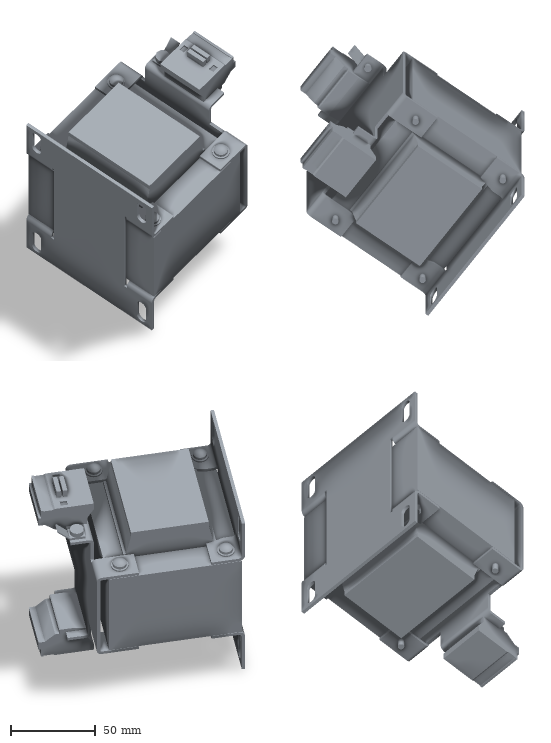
import cadquery as cq
import math


SHEET = 2.0

CORE_WIDTH = 96.0
LEG = CORE_WIDTH / 6
CORE_DEPTH = 5 * LEG
CORE_HALF_HEIGHT = 29.7
FOOT_INNER = 30.0
FOOT_OUTER = FOOT_INNER + SHEET
CORE_FRONT = SHEET
CORE_REAR = CORE_FRONT + CORE_DEPTH
CORE_MIDDLE = (CORE_FRONT + CORE_REAR) / 2
HALF_WIDTH = CORE_WIDTH / 2
WINDOW_EDGE = HALF_WIDTH - LEG

COIL_WIDTH = 62.0
COIL_TOP = 49.2
COIL_BOTTOM = -44.5
COIL_BASE_DEPTH = 52.7
COIL_END_DEPTH = 46.8
FLANGE_DEPTH = 56.0
COIL_RIM = 3.5
FLANGE = 1.9

PLATE_HEIGHT = 122.4
NOTCH_HALF_HEIGHT = 35.1
NOTCH_EDGE = 26.8
RELIEF = 2.2
SLOT_WIDTH = 6.9
SLOT_LENGTH = 18.2
SLOT_X = 40.0
SLOT_Z = 49.5
FRONT_BEND = 2.2
FRONT_FOOT_END = 20.4
FOOT_TAPER_START = 9.3

FRAME_REAR = 89.3
FRAME_FRONT = FRAME_REAR - SHEET
FRAME_BEND = 1.0
REAR_FOOT_END = 64.0
TAB_OUTER = 45.5
TAB_BEND = 1.3
TAB_END = 101.5
TAB_RIGHT = 20.1
UPPER_TAB_LEFT = -28.9
LOWER_TAB_LEFT = -TAB_RIGHT

SCREW_INSET = LEG / 2
WASHER_RADIUS = 5.1
WASHER = 1.0
HEAD_RADIUS = 4.1
HEAD_HEIGHT = 1.8
DOME_HEIGHT = 1.7
SCREW_RADIUS = 1.9
SCREW_END = -37.1

BLOCK_WIDTH = 30.0
BLOCK_TOP = 61.5
BLOCK_REAR = 118.0
RIDGE_TOP = 66.5
RIDGE_LENGTH = 12.2
RIDGE_DEPTH = 2.7
RIDGE_CENTRES = (100.2, 104.0)
POCKET_WIDTH = 3.3
POCKET_LENGTH = 4.2
POCKET_DEPTH = 1.3
POCKET_X = 11.3
POCKET_Y = 102.1

EARTH_X = -22.9
EARTH_Y = 96.5
EARTH_HEAD_RADIUS = 4.1
EARTH_HEAD_TOP = 50.3
EARTH_SCREW_RADIUS = 2.2
EARTH_SCREW_END = 40.8
LUG_WIDTH = 8.0
LUG_FRONT = 92.0
LUG_TOP = 47.1
BLADE_WIDTH = 6.7
BLADE = 0.8
BLADE_REAR = 108.8
BLADE_RISE = BLADE_REAR - TAB_END


def box(x0, x1, y0, y1, z0, z1):
    return cq.Workplane("XY").box(x1 - x0, y1 - y0, z1 - z0, centered=False).translate((x0, y0, z0))


def rod(x, y, z0, z1, radius):
    return cq.Workplane("XY", origin=(x, y, z0)).circle(radius).extrude(z1 - z0)


def side_section(x0, x1):
    """Workplane for a (Y, Z) profile, and the length that carries it from x0 to x1."""
    return cq.Workplane("YZ", origin=(x0, 0, 0)), x1 - x0


def mirror_z(body):
    return body.mirror("XY")


def bent_strip(x0, x1, face, wall_end, outer, foot_end, bend, direction):
    """L-shaped strip: a wall on the plane y = face bent into a foot parallel to XY.

    The wall runs from z = wall_end to the bend, whose convex side touches both y = face and
    z = outer. `direction` is the Y sense in which the foot leaves the wall.
    """
    up = math.copysign(1, outer - wall_end)
    big = bend + SHEET
    centre_y = face + direction * big
    centre_z = outer - up * big
    cos45 = math.sqrt(0.5)
    plane, length = side_section(x0, x1)
    return (
        plane.moveTo(face, wall_end)
        .lineTo(face, centre_z)
        .threePointArc(
            (centre_y - direction * big * cos45, centre_z + up * big * cos45), (centre_y, outer)
        )
        .lineTo(foot_end, outer)
        .lineTo(foot_end, outer - up * SHEET)
        .lineTo(centre_y, outer - up * SHEET)
        .threePointArc(
            (centre_y - direction * bend * cos45, centre_z + up * bend * cos45),
            (face + direction * SHEET, centre_z),
        )
        .lineTo(face + direction * SHEET, wall_end)
        .close()
        .extrude(length)
    )


def make_core():
    core = box(-HALF_WIDTH, HALF_WIDTH, CORE_FRONT, CORE_REAR, -CORE_HALF_HEIGHT, CORE_HALF_HEIGHT)
    for x0, x1 in ((-WINDOW_EDGE, -LEG), (LEG, WINDOW_EDGE)):
        window = box(
            x0, x1, CORE_FRONT + LEG, CORE_REAR - LEG, -CORE_HALF_HEIGHT, CORE_HALF_HEIGHT
        )
        core = core.cut(window)
    return core


def make_coil_end(tip):
    """Tapered end of the coil, from the core face outwards to z = tip."""
    shoulder = math.copysign(CORE_HALF_HEIGHT + FLANGE, tip)
    rim = tip - math.copysign(COIL_RIM, tip)
    base = COIL_BASE_DEPTH / 2
    end = COIL_END_DEPTH / 2
    plane, length = side_section(-COIL_WIDTH / 2, COIL_WIDTH / 2)
    rear_side = [(base, 0), (base, shoulder), (end, rim), (end, tip)]
    front_side = [(-y, z) for y, z in reversed(rear_side)]
    return plane.polyline(rear_side + front_side).close().extrude(length)


def make_coil():
    """Coil and bobbin: the filling of both windows, two flanges and two tapered ends."""
    half_width = COIL_WIDTH / 2
    half_window = CORE_DEPTH / 2 - LEG
    half_flange = FLANGE_DEPTH / 2
    flange_top = CORE_HALF_HEIGHT + FLANGE
    coil = box(
        -half_width, half_width, -half_window, half_window, -CORE_HALF_HEIGHT, CORE_HALF_HEIGHT
    )
    flange = box(
        -half_width, half_width, -half_flange, half_flange, CORE_HALF_HEIGHT, flange_top
    )
    outside = box(
        -half_width, half_width, -half_flange, half_flange, -CORE_HALF_HEIGHT, CORE_HALF_HEIGHT
    )
    for tip in (COIL_TOP, COIL_BOTTOM):
        coil = coil.union(make_coil_end(tip).cut(outside))
    coil = coil.union(flange).union(mirror_z(flange))
    return coil.translate((0, CORE_MIDDLE, 0))


def make_front_plate():
    """Slotted plate, notched at both sides where four tapered feet bend over the core."""
    plate = box(-HALF_WIDTH, HALF_WIDTH, 0, SHEET, -PLATE_HEIGHT / 2, PLATE_HEIGHT / 2)
    slots = (
        cq.Workplane("XZ")
        .rect(2 * SLOT_X, 2 * SLOT_Z, forConstruction=True)
        .vertices()
        .slot2D(SLOT_LENGTH, SLOT_WIDTH, 90)
        .extrude(-SHEET)
    )
    plate = plate.cut(slots)
    foot_edge = NOTCH_EDGE + RELIEF
    outline = [
        (foot_edge, 0),
        (HALF_WIDTH, 0),
        (HALF_WIDTH, FRONT_FOOT_END),
        (WINDOW_EDGE, FRONT_FOOT_END),
        (foot_edge, FOOT_TAPER_START),
    ]
    trim = (
        cq.Workplane("XY").workplane(offset=-PLATE_HEIGHT / 2).polyline(outline).close()
        .extrude(PLATE_HEIGHT)
    )
    notch = box(NOTCH_EDGE, HALF_WIDTH, 0, SHEET, -NOTCH_HALF_HEIGHT, NOTCH_HALF_HEIGHT)
    foot = bent_strip(
        foot_edge, HALF_WIDTH, 0, NOTCH_HALF_HEIGHT, FOOT_INNER, FRONT_FOOT_END,
        FRONT_BEND, 1,
    ).intersect(trim)
    feet = foot.union(mirror_z(foot))
    for side in (notch, notch.mirror("YZ")):
        plate = plate.cut(side)
    return plate.union(feet).union(feet.mirror("YZ"))


def make_rear_frame():
    """Wall with four feet bent over the core and a tab bent rearwards at each end."""
    foot = bent_strip(
        WINDOW_EDGE, HALF_WIDTH, FRAME_REAR, 0, FOOT_OUTER, REAR_FOOT_END, FRAME_BEND, -1
    )
    feet = foot.union(mirror_z(foot))
    bend_start = FOOT_INNER - FRAME_BEND
    wall = box(
        -WINDOW_EDGE, WINDOW_EDGE, FRAME_FRONT, FRAME_REAR, -bend_start, bend_start
    )
    frame = wall.union(feet).union(feet.mirror("YZ"))
    for left, sense in ((UPPER_TAB_LEFT, 1), (LOWER_TAB_LEFT, -1)):
        tab = bent_strip(
            left, TAB_RIGHT, FRAME_FRONT, 0, sense * TAB_OUTER, TAB_END, TAB_BEND, 1
        )
        frame = frame.union(tab)
    return frame


def make_core_screw(x, y):
    """Washer, domed head and shank, revolved about the screw axis."""
    washer_top = FOOT_OUTER + WASHER
    head_top = washer_top + HEAD_HEIGHT
    dome_radius = (HEAD_RADIUS**2 + DOME_HEIGHT**2) / (2 * DOME_HEIGHT)
    screw = (
        cq.Workplane("XZ")
        .moveTo(0, SCREW_END)
        .lineTo(SCREW_RADIUS, SCREW_END)
        .lineTo(SCREW_RADIUS, FOOT_OUTER)
        .lineTo(WASHER_RADIUS, FOOT_OUTER)
        .lineTo(WASHER_RADIUS, washer_top)
        .lineTo(HEAD_RADIUS, washer_top)
        .lineTo(HEAD_RADIUS, head_top)
        .radiusArc((0, head_top + DOME_HEIGHT), -dome_radius)
        .close()
        .revolve(360, (0, 0, 0), (0, 1, 0))
    )
    return screw.translate((x, y, 0))


def make_terminal_block():
    """Upper block, extruded from its (Y, Z) outline; its base wraps the frame tab."""
    outline = [
        (84.7, BLOCK_TOP),
        (108.2, BLOCK_TOP),
        (109.2, 60.7),
        (115.0, 60.7),
        (115.0, 61.2),
        (116.5, 61.2),
        (116.5, 55.2),
        (BLOCK_REAR, 55.2),
        (BLOCK_REAR, 49.2),
        (114.2, 49.2),
        (108.0, 44.0),
        (105.5, 44.0),
        (105.5, 41.2),
        (104.7, 40.8),
        (97.4, 40.8),
        (88.8, 42.4),
        (88.6, 50.2),
        (84.7, 56.6),
    ]
    plane, length = side_section(-BLOCK_WIDTH / 2, BLOCK_WIDTH / 2)
    return plane.polyline(outline).close().extrude(length)


def make_upper_block():
    block = make_terminal_block()
    for y in RIDGE_CENTRES:
        ridge = box(
            -RIDGE_LENGTH / 2, RIDGE_LENGTH / 2, y - RIDGE_DEPTH / 2, y + RIDGE_DEPTH / 2,
            BLOCK_TOP, RIDGE_TOP,
        )
        block = block.union(ridge)
    pockets = (
        cq.Workplane("XY", origin=(0, POCKET_Y, BLOCK_TOP))
        .pushPoints([(-POCKET_X, 0), (POCKET_X, 0)])
        .rect(POCKET_WIDTH, POCKET_LENGTH)
        .extrude(-POCKET_DEPTH)
    )
    return block.cut(pockets)


def make_earth_screw():
    """Screw through the upper tab, holding a square lug with a blade raised at 45 degrees."""
    lug = box(
        EARTH_X - LUG_WIDTH / 2, EARTH_X + LUG_WIDTH / 2, LUG_FRONT, TAB_END, TAB_OUTER, LUG_TOP
    )
    plane, length = side_section(EARTH_X - BLADE_WIDTH / 2, EARTH_X + BLADE_WIDTH / 2)
    step = BLADE * math.sqrt(0.5)
    blade_top = TAB_OUTER + BLADE_RISE
    blade = (
        plane.moveTo(TAB_END, TAB_OUTER)
        .lineTo(BLADE_REAR, blade_top)
        .lineTo(BLADE_REAR - step, blade_top + step)
        .lineTo(TAB_END - step, TAB_OUTER + step)
        .close()
        .extrude(length)
    )
    head = rod(EARTH_X, EARTH_Y, LUG_TOP, EARTH_HEAD_TOP, EARTH_HEAD_RADIUS)
    shank = rod(EARTH_X, EARTH_Y, EARTH_SCREW_END, LUG_TOP, EARTH_SCREW_RADIUS)
    return lug.union(blade).union(head).union(shank)


result = make_core()
for body in (make_coil(), make_front_plate(), make_rear_frame()):
    result = result.union(body)
for screw_x in (SCREW_INSET - HALF_WIDTH, HALF_WIDTH - SCREW_INSET):
    for screw_y in (CORE_FRONT + SCREW_INSET, CORE_REAR - SCREW_INSET):
        result = result.union(make_core_screw(screw_x, screw_y))
result = result.union(make_upper_block())
result = result.union(mirror_z(make_terminal_block()))
result = result.union(make_earth_screw())